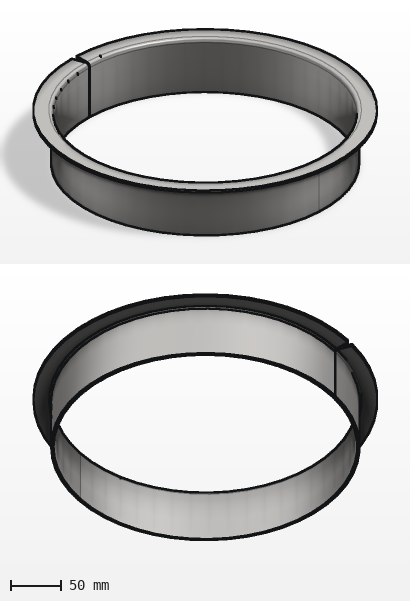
import cadquery as cq
import math

height = 60.0
flange_radius = 170.0
wall_inner_radius = 150.0
sheet_thickness = 2.5
inside_bend_radius = 2.0
bottom_edge_chamfer = 0.5

split_angle = 182.0
split_width = 1.0
notch_mouth_width = 7.0

wall_outer_radius = wall_inner_radius + sheet_thickness
outside_bend_radius = inside_bend_radius + sheet_thickness
bend_center_radius = wall_outer_radius + inside_bend_radius
bend_center_z = height - outside_bend_radius
flange_bottom_z = height - sheet_thickness
cut_overrun = 5.0


def make_collar():
    """Revolve the bent sheet section about the Z axis."""
    diagonal = math.sqrt(0.5)
    outside_mid = outside_bend_radius * diagonal
    inside_mid = inside_bend_radius * diagonal
    return (
        cq.Workplane("XZ")
        .moveTo(wall_inner_radius, 0)
        .lineTo(wall_inner_radius, bend_center_z)
        .threePointArc(
            (bend_center_radius - outside_mid, bend_center_z + outside_mid),
            (bend_center_radius, height),
        )
        .lineTo(flange_radius, height)
        .lineTo(flange_radius, flange_bottom_z)
        .lineTo(bend_center_radius, flange_bottom_z)
        .threePointArc(
            (bend_center_radius - inside_mid, bend_center_z + inside_mid),
            (wall_outer_radius, bend_center_z),
        )
        .lineTo(wall_outer_radius, bottom_edge_chamfer)
        .lineTo(wall_outer_radius - bottom_edge_chamfer, 0)
        .close()
        .revolve(360, (0, 0, 0), (0, 1, 0))
    )


def make_split_cutter():
    """Full-height cutter: parallel through the wall, widening across the bend and flange."""
    half_split = split_width / 2
    half_mouth = notch_mouth_width / 2
    widening = (half_mouth - half_split) / (flange_radius - wall_outer_radius)
    tip_radius = flange_radius + cut_overrun
    half_tip = half_mouth + widening * cut_overrun
    start_radius = wall_inner_radius - cut_overrun
    return (
        cq.Workplane("XY")
        .polyline([
            (start_radius, -half_split),
            (wall_outer_radius, -half_split),
            (tip_radius, -half_tip),
            (tip_radius, half_tip),
            (wall_outer_radius, half_split),
            (start_radius, half_split),
        ])
        .close()
        .extrude(height)
        .rotate((0, 0, 0), (0, 0, 1), split_angle)
    )


result = make_collar().cut(make_split_cutter())